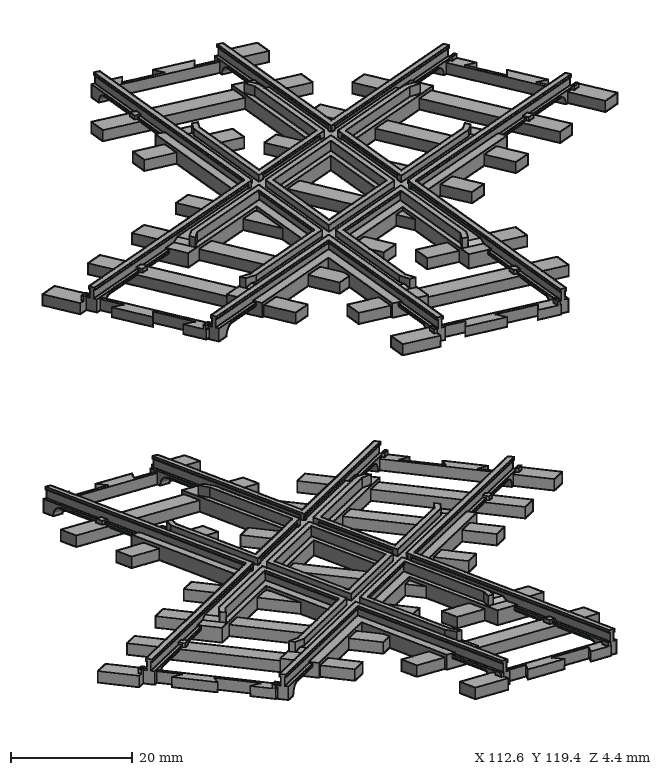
import cadquery as cq
crossing_angle = 60.0
half_length = 57.7
rail_offset = 11.7

head_width = 1.13
web_width = 0.7
foot_width = 2.0
strip_width = 1.7
strip_bottom = 1.7
foot_bottom = 1.9
foot_top = 2.4
head_bottom = 4.0
rail_top = 4.4

sleeper_half_span = 20.0
sleeper_width = 4.0
sleeper_height = 2.0
sleeper_pitch = 14.3
outer_row = 3
short_sleeper_place = 29.0
short_sleeper_inner = 1.0

end_face = 59.7
haunch_start = 55.2
bar_inner = 55.9
bar_thickness = 0.7
tab_face = 58.5
tab_bottom = 0.2
tab_centre = 3.4
tab_outer_width = 8.0
tab_inner_width = 5.6
socket_clearance = 0.1
tab_rail_overlap = 0.1

chair_length = 1.5
chair_half_width = 1.5
chair_top = 2.7

bed_top = 2.6
bed_outer = 13.9
bed_inner = 7.0
bed_long_end = 45.5
bed_short_end = 34.2
guard_setback_long = 3.8
guard_setback_short = 2.6
flangeway_floor = 3.2
flangeway_width = 1.9
ramp_length = 1.1
flare_length = 2.0
flare_shift = 0.8

outer_sleeper_place = outer_row * sleeper_pitch
head_inner = rail_offset - head_width / 2
guard_outer = head_inner - flangeway_width
guard_inner = guard_outer - head_width
foot_inner = rail_offset - foot_width / 2
foot_outer = rail_offset + foot_width / 2
bar_outer = bar_inner + bar_thickness
long_guard_end = bed_long_end - guard_setback_long
short_guard_end = bed_short_end - guard_setback_short


def block(x_min, x_max, y_min, y_max, z_min, z_max):
    size = (x_max - x_min, y_max - y_min, z_max - z_min)
    return cq.Workplane("XY").box(*size, centered=False).translate((x_min, y_min, z_min))


def prism(points, z_min, z_max):
    base = cq.Workplane("XY", origin=(0, 0, z_min))
    return base.polyline(points).close().extrude(z_max - z_min)


def half_turn(shape):
    return shape.rotate((0, 0, 0), (0, 0, 1), 180)


def rail():
    """Running rail on the +X side of a track that lies along Y."""
    parts = [
        (strip_width, strip_bottom, foot_bottom),
        (foot_width, foot_bottom, foot_top),
        (web_width, foot_top, head_bottom),
        (head_width, head_bottom, rail_top),
    ]
    body = cq.Workplane("XY")
    for width, bottom, top in parts:
        left = rail_offset - width / 2
        body = body.union(block(left, left + width, -half_length, half_length, bottom, top))
    return body


def haunch(x_centre):
    """Block below a rail end, with a concave quarter round towards the middle of the track."""
    profile = (
        cq.Workplane("YZ", origin=(x_centre - foot_width / 2, 0, 0))
        .moveTo(haunch_start, 0)
        .radiusArc((haunch_start - foot_bottom, foot_bottom), -foot_bottom)
        .lineTo(half_length, foot_bottom)
        .lineTo(half_length, 0)
        .close()
    )
    return profile.extrude(foot_width)


def chair(x_centre, y_centre):
    half = chair_length / 2
    return block(
        x_centre - chair_half_width, x_centre + chair_half_width,
        y_centre - half, y_centre + half,
        foot_bottom, chair_top,
    )


def sleeper(y_centre, x_min=-sleeper_half_span, x_max=sleeper_half_span):
    half = sleeper_width / 2
    return block(x_min, x_max, y_centre - half, y_centre + half, 0, sleeper_height)


def track_end():
    """Half sleeper, cross bar, dovetail tabs and rail supports at the +Y end."""
    end = block(foot_outer, sleeper_half_span, end_face - sleeper_width, end_face, 0, sleeper_height)
    end = end.union(block(-rail_offset, rail_offset, bar_inner, bar_outer, 0, sleeper_height))
    outer_half = tab_outer_width / 2
    inner_half = tab_inner_width / 2
    full_tab = [
        (tab_centre - inner_half, bar_inner),
        (tab_centre - inner_half, bar_outer),
        (tab_centre - outer_half, tab_face),
        (tab_centre + outer_half, tab_face),
        (tab_centre + inner_half, bar_outer),
        (tab_centre + inner_half, bar_inner),
    ]
    socket_inner = -tab_centre - outer_half - socket_clearance
    socket_outer = -tab_centre - inner_half - socket_clearance
    tab_side = -foot_inner - tab_rail_overlap
    half_tab = [
        (tab_side, bar_inner),
        (socket_inner, bar_inner),
        (socket_inner, bar_outer),
        (socket_outer, tab_face),
        (tab_side, tab_face),
    ]
    for outline in (full_tab, half_tab):
        end = end.union(prism(outline, tab_bottom, sleeper_height))
    for x_centre in (-rail_offset, rail_offset):
        end = end.union(haunch(x_centre))
    chair_y = end_face - sleeper_width / 2
    for foot_edge, x_centre in ((-foot_inner, -rail_offset), (foot_outer, rail_offset)):
        keep = block(foot_edge, sleeper_half_span, bar_inner, end_face, 0, rail_top)
        end = end.union(chair(x_centre, chair_y).intersect(keep))
    return end


def bed(y_min, y_max, guard_min, guard_max):
    """Bed on the +X side with its raised flangeway floor and its flared guard rail."""
    base = block(bed_inner, bed_outer, y_min, y_max, 0, bed_top)
    floor = (
        cq.Workplane("YZ", origin=(guard_inner, 0, 0))
        .polyline([
            (guard_min, bed_top),
            (guard_min + ramp_length, flangeway_floor),
            (guard_max - ramp_length, flangeway_floor),
            (guard_max, bed_top),
        ])
        .close()
        .extrude(rail_offset - guard_inner)
    )
    flare_min = guard_min + flare_length
    flare_max = guard_max - flare_length
    guard = prism([
        (guard_outer - flare_shift, guard_min),
        (guard_outer, flare_min),
        (guard_outer, flare_max),
        (guard_outer - flare_shift, guard_max),
        (guard_inner - flare_shift, guard_max),
        (guard_inner, flare_max),
        (guard_inner, flare_min),
        (guard_inner - flare_shift, guard_min),
    ], 0, rail_top)
    for y_start, y_stop in ((guard_min, flare_min), (flare_max, guard_max)):
        strip = block(guard_inner - flare_shift, guard_inner, y_start, y_stop, bed_top, rail_top)
        floor = floor.cut(strip)
    return base.union(floor).union(guard)


def handed_bed(long_end_forward):
    """Bed of the +X rail, with its long end towards +Y or towards -Y."""
    if long_end_forward:
        return bed(-bed_short_end, bed_long_end, -short_guard_end, long_guard_end)
    return bed(-bed_long_end, bed_short_end, -long_guard_end, short_guard_end)


def flangeway():
    """Clear space beside the +X rail for the wheel flanges."""
    reach = short_guard_end - flare_length
    return block(guard_outer, head_inner, -reach, reach, flangeway_floor, rail_top)


def track(long_end_forward, sleepers):
    """Whole track along Y, unchanged by a half turn about Z."""
    chair_y = -outer_sleeper_place if long_end_forward else outer_sleeper_place
    half = rail().union(handed_bed(long_end_forward)).union(track_end())
    half = half.union(chair(rail_offset, chair_y))
    body = half.union(half_turn(half))
    for item in sleepers:
        body = body.union(item)
    return body


def turned(shape):
    return shape.rotate((0, 0, 0), (0, 0, 1), crossing_angle)


straight_sleepers = [sleeper(row * sleeper_pitch) for row in range(-outer_row, outer_row + 1)]
short_sleeper = sleeper(short_sleeper_place, x_max=-short_sleeper_inner)
outer_sleeper = sleeper(outer_sleeper_place)
diagonal_sleepers = [
    shape
    for original in (short_sleeper, outer_sleeper)
    for shape in (original, half_turn(original))
]

straight_track = track(False, straight_sleepers)
diagonal_track = turned(track(True, diagonal_sleepers))
flangeways = flangeway().union(half_turn(flangeway()))

result = straight_track.union(diagonal_track).cut(flangeways).cut(turned(flangeways))